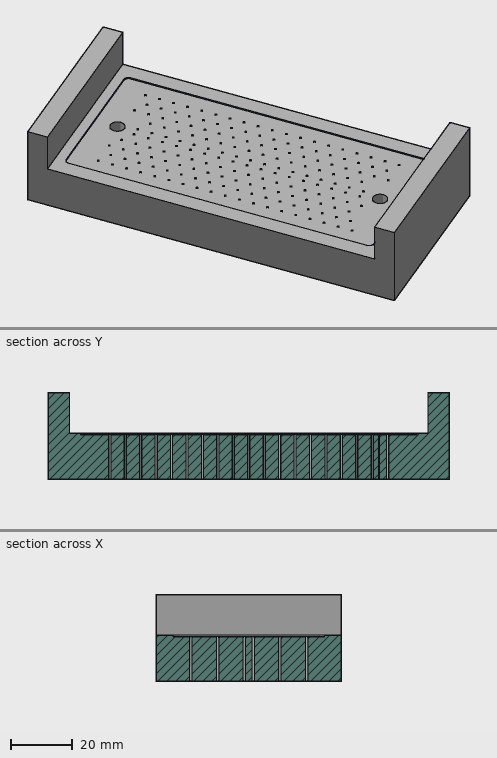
import cadquery as cq
import math

length = 130.0
width = 60.0
height = 28.1

wall_thickness = 7.0
floor_height = 15.0

recess_length = 109.0
recess_width = 49.0
recess_depth = 0.5
recess_corner_radius = 3.2 / 2

port_diameter = 5.0
port_spacing = 93.1

pinhole_diameter = 0.6
full_row_length = 90.0
full_row_count = 19
pinhole_pitch = full_row_length / (full_row_count - 1)
row_pitch = pinhole_pitch * math.sin(math.radians(60))
inner_row_offset = 1.4

rear_row_counts = [17, 16, 19, 18, 19]
front_row_counts = [17, 18, 18, 18, 19]
uncentred_row = 2


def make_block():
    """U-shaped block: a thick floor between two end walls."""
    block = cq.Workplane("XY").box(length, width, height, centered=(True, True, False))
    gap = (
        cq.Workplane("XY")
        .workplane(offset=floor_height)
        .rect(length - 2 * wall_thickness, width)
        .extrude(height - floor_height)
    )
    return block.cut(gap)


def make_recess():
    """Rounded rectangular recess sunk into the floor."""
    return (
        cq.Workplane("XY")
        .workplane(offset=floor_height - recess_depth)
        .rect(recess_length, recess_width)
        .extrude(recess_depth)
        .edges("|Z")
        .fillet(recess_corner_radius)
    )


def row_points(count, y, centre_x=0.0):
    """Evenly pitched hole centres along X."""
    first_x = centre_x - (count - 1) * pinhole_pitch / 2
    return [(first_x + i * pinhole_pitch, y) for i in range(count)]


def pinhole_points():
    """Hole centres of the rear (+Y) and front (-Y) fields."""
    points = []
    for row, count in enumerate(rear_row_counts):
        points += row_points(count, inner_row_offset + row * row_pitch)
    for row, count in enumerate(front_row_counts):
        centre_x = -pinhole_pitch / 2 if row == uncentred_row else 0.0
        points += row_points(count, -inner_row_offset - row * row_pitch, centre_x)
    return points


def make_through_holes(points, diameter):
    """Round cutters reaching from the underside to the floor surface."""
    return cq.Workplane("XY").pushPoints(points).circle(diameter / 2).extrude(floor_height)


port_points = [(-port_spacing / 2, 0), (port_spacing / 2, 0)]

result = (
    make_block()
    .cut(make_recess())
    .cut(make_through_holes(port_points, port_diameter))
    .cut(make_through_holes(pinhole_points(), pinhole_diameter))
)